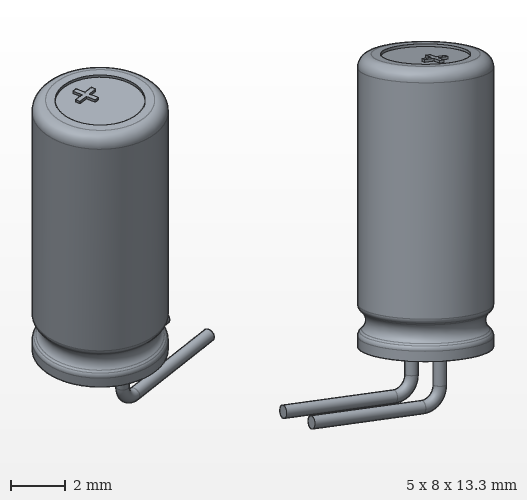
import cadquery as cq
import math


can_radius = 2.5
can_height = 11.0
top_edge_radius = 0.5

groove_center_height = 1.0
groove_half_width = 0.5
groove_wall_angle = math.radians(45)
rim_radius = 0.25
waist_radius = 0.5

recess_radius = 1.65
recess_depth = 0.1
plus_center_x = -0.65
plus_length = 1.0
plus_bar_width = 0.2

lead_radius = 0.25
lead_pitch = 2.0
lead_bend_radius = 0.75
lead_axis_drop = 2.0
lead_reach = 5.5


def make_can():
    """Revolve the half profile of the can, with its groove and rounded top edge."""
    slope_sin = math.sin(groove_wall_angle)
    slope_cos = math.cos(groove_wall_angle)
    slope_tan = math.tan(groove_wall_angle)

    rim_outer_offset = groove_half_width + rim_radius * math.tan(groove_wall_angle / 2)
    rim_inner_offset = rim_outer_offset - rim_radius * slope_sin
    waist_end_offset = waist_radius * slope_sin

    rim_inner_radius = can_radius - rim_radius * (1 - slope_cos)
    waist_end_radius = rim_inner_radius - (rim_inner_offset - waist_end_offset) * slope_tan
    neck_radius = waist_end_radius - waist_radius * (1 - slope_cos)

    mid = groove_center_height
    top_edge_start = can_height - top_edge_radius
    flat_top_radius = can_radius - top_edge_radius
    profile = (
        cq.Workplane("XZ")
        .lineTo(can_radius, 0)
        .lineTo(can_radius, mid - rim_outer_offset)
        .tangentArcPoint((rim_inner_radius, mid - rim_inner_offset), relative=False)
        .lineTo(waist_end_radius, mid - waist_end_offset)
        .tangentArcPoint((neck_radius, mid), relative=False)
        .tangentArcPoint((waist_end_radius, mid + waist_end_offset), relative=False)
        .lineTo(rim_inner_radius, mid + rim_inner_offset)
        .tangentArcPoint((can_radius, mid + rim_outer_offset), relative=False)
        .lineTo(can_radius, top_edge_start)
        .tangentArcPoint((flat_top_radius, can_height), relative=False)
        .lineTo(0, can_height)
        .close()
    )
    return profile.revolve(360, (0, 0), (0, 1))


def make_recess():
    """Shallow round pocket in the top of the can."""
    floor = cq.Workplane("XY", origin=(0, 0, can_height - recess_depth))
    return floor.circle(recess_radius).extrude(recess_depth)


def make_plus_sign():
    """Two crossed bars rising from the recess floor to the level of the rim."""
    floor = cq.Workplane("XY", origin=(plus_center_x, 0, can_height - recess_depth))
    bar_along_x = floor.rect(plus_length, plus_bar_width).extrude(recess_depth)
    bar_along_y = floor.rect(plus_bar_width, plus_length).extrude(recess_depth)
    return bar_along_x.union(bar_along_y)


def make_lead(x):
    """Round wire that drops from the base, bends 90 degrees and runs toward +Y."""
    path = (
        cq.Workplane("YZ", origin=(x, 0, 0))
        .lineTo(0, lead_bend_radius - lead_axis_drop)
        .tangentArcPoint((lead_bend_radius, -lead_axis_drop), relative=False)
        .lineTo(lead_reach, -lead_axis_drop)
    )
    return cq.Workplane("XY", origin=(x, 0, 0)).circle(lead_radius).sweep(path)


result = make_can().cut(make_recess()).union(make_plus_sign())
for side in (-1, 1):
    result = result.union(make_lead(side * lead_pitch / 2))